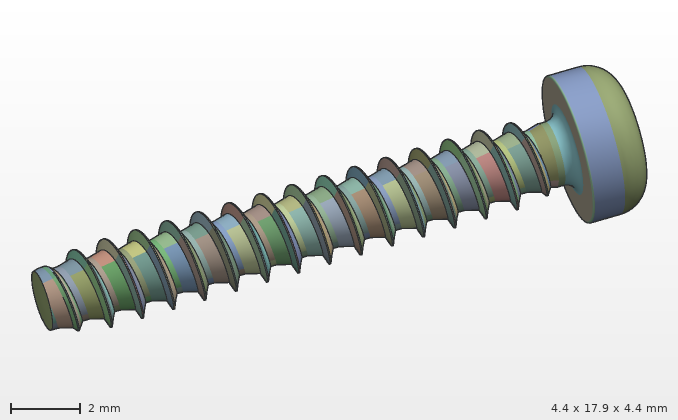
import cadquery as cq
import math


HEAD_DIAMETER = 4.4
HEAD_HEIGHT = 1.9
HEAD_DOME_RADIUS = 0.93
HEAD_RIM_FILLET = 0.05

SHANK_LENGTH = 16.0
CORE_DIAMETER = 1.7
NECK_DIAMETER = 1.9
NECK_FILLET = 0.4
NECK_END = 0.6
NECK_TAPER_END = 0.97
TIP_CONE_HEIGHT = 0.03

THREAD_DIAMETER = 2.5
PITCH = 0.95
CREST_WIDTH = 0.04
FLANK_KNEE_OFFSET = 0.12
FLANK_KNEE_RADIUS = 1.03
FLANK_ROOT_OFFSET = 0.3
ROOT_SHOULDER_OFFSET = 0.13
ROOT_SHOULDER_RADIUS = 0.96
ROOT_TAPER_END_OFFSET = 0.55
ROOT_EMBED = 0.15
CORE_OVERRUN = 0.05

CREST_DEPTH_ON_X = 2.9355
TURNS_BEFORE_CREST_ON_X = 2.75
THREAD_START_DEPTH = CREST_DEPTH_ON_X - TURNS_BEFORE_CREST_ON_X * PITCH
FULL_THREAD_START_DEPTH = 1.65
FULL_THREAD_END_DEPTH = 14.5
HALF_TURNS = 33
THREAD_END_DEPTH = THREAD_START_DEPTH + HALF_TURNS * PITCH / 2
START_HEIGHT_RATIO = 0.33
END_HEIGHT_RATIO = 0.1
POINTS_PER_HALF_TURN = 8

CORE_RADIUS = CORE_DIAMETER / 2
CREST_RADIUS = THREAD_DIAMETER / 2


def make_blank():
    """Head, neck and plain core, turned about the Y axis."""
    head_radius = HEAD_DIAMETER / 2
    neck_radius = NECK_DIAMETER / 2
    dome_flat_radius = head_radius - HEAD_DOME_RADIUS
    dome_mid = HEAD_DOME_RADIUS * math.sqrt(0.5)
    fillet_mid = NECK_FILLET * (1 - math.sqrt(0.5))
    rim_mid = HEAD_RIM_FILLET * (1 - math.sqrt(0.5))
    dome_base = HEAD_HEIGHT - HEAD_DOME_RADIUS
    return (
        cq.Workplane("XY")
        .moveTo(0, HEAD_HEIGHT)
        .lineTo(dome_flat_radius, HEAD_HEIGHT)
        .threePointArc((dome_flat_radius + dome_mid, dome_base + dome_mid), (head_radius, dome_base))
        .lineTo(head_radius, HEAD_RIM_FILLET)
        .threePointArc((head_radius - rim_mid, rim_mid), (head_radius - HEAD_RIM_FILLET, 0))
        .lineTo(neck_radius + NECK_FILLET, 0)
        .threePointArc((neck_radius + fillet_mid, -fillet_mid), (neck_radius, -NECK_FILLET))
        .lineTo(neck_radius, -NECK_END)
        .lineTo(CORE_RADIUS, -NECK_TAPER_END)
        .lineTo(CORE_RADIUS, TIP_CONE_HEIGHT - SHANK_LENGTH)
        .lineTo(0, -SHANK_LENGTH)
        .close()
        .revolve(360, (0, 0, 0), (0, 1, 0))
        .val()
    )


def thread_profile():
    """Corners of the thread section as (axial offset toward the tip, radius), from the head side on."""
    embedded_radius = CORE_RADIUS - ROOT_EMBED
    shoulder_height = ROOT_SHOULDER_RADIUS - CORE_RADIUS
    taper_run = ROOT_TAPER_END_OFFSET - ROOT_SHOULDER_OFFSET
    return [
        (-FLANK_ROOT_OFFSET, embedded_radius),
        (-FLANK_KNEE_OFFSET, FLANK_KNEE_RADIUS),
        (-CREST_WIDTH / 2, CREST_RADIUS),
        (CREST_WIDTH / 2, CREST_RADIUS),
        (ROOT_SHOULDER_OFFSET, ROOT_SHOULDER_RADIUS),
        (ROOT_TAPER_END_OFFSET + CORE_OVERRUN, CORE_RADIUS - shoulder_height * CORE_OVERRUN / taper_run),
        (ROOT_TAPER_END_OFFSET + CORE_OVERRUN, embedded_radius),
    ]


def height_ratio(depth):
    """Share of the full crest height at a crest depth: rising behind the head, fading at the tip."""
    if depth < FULL_THREAD_START_DEPTH:
        run_in = (depth - THREAD_START_DEPTH) / (FULL_THREAD_START_DEPTH - THREAD_START_DEPTH)
        return START_HEIGHT_RATIO + (1 - START_HEIGHT_RATIO) * run_in
    if depth > FULL_THREAD_END_DEPTH:
        run_out = (depth - FULL_THREAD_END_DEPTH) / (THREAD_END_DEPTH - FULL_THREAD_END_DEPTH)
        return 1 - (1 - END_HEIGHT_RATIO) * run_out
    return 1.0


def helix_point(depth, offset, radius):
    """Point of a section corner's helix where the crest is at the given depth below the head."""
    angle = 2 * math.pi * (depth - CREST_DEPTH_ON_X) / PITCH
    ratio = height_ratio(depth)
    if radius > ROOT_SHOULDER_RADIUS:
        radius = CORE_RADIUS + (radius - CORE_RADIUS) * ratio
    else:
        radius = min(radius, CORE_RADIUS + (CREST_RADIUS - CORE_RADIUS) * ratio)
    return cq.Vector(radius * math.cos(angle), -depth - offset, radius * math.sin(angle))


def helix_edge(start_depth, end_depth, offset, radius):
    """Stretch of a section corner's helix between two crest depths."""
    depth_step = (end_depth - start_depth) / POINTS_PER_HALF_TURN
    points = [
        helix_point(start_depth + index * depth_step, offset, radius)
        for index in range(POINTS_PER_HALF_TURN + 1)
    ]
    return cq.Edge.makeSpline(points)


def thread_end_face(depth):
    """Flat section of the thread at a crest depth."""
    corners = [helix_point(depth, offset, radius) for offset, radius in thread_profile()]
    return cq.Face.makeFromWires(cq.Wire.makePolygon(corners, close=True))


def make_thread():
    """Solid thread of ruled faces between the corner helices, cut flush at the neck and tip."""
    faces = [thread_end_face(THREAD_START_DEPTH), thread_end_face(THREAD_END_DEPTH)]
    for half_turn in range(HALF_TURNS):
        start_depth = THREAD_START_DEPTH + half_turn * PITCH / 2
        helices = [
            helix_edge(start_depth, start_depth + PITCH / 2, offset, radius)
            for offset, radius in thread_profile()
        ]
        following = helices[1:] + helices[:1]
        faces += [cq.Face.makeRuledSurface(first, second) for first, second in zip(helices, following)]
    thread = cq.Solid.makeSolid(cq.Shell.makeShell(faces))
    envelope = cq.Solid.makeCylinder(
        HEAD_DIAMETER / 2,
        SHANK_LENGTH - TIP_CONE_HEIGHT - NECK_END,
        cq.Vector(0, -NECK_END, 0),
        cq.Vector(0, -1, 0),
    )
    return thread.intersect(envelope)


result = cq.Workplane("XY").newObject([make_blank().fuse(make_thread())]).solids()